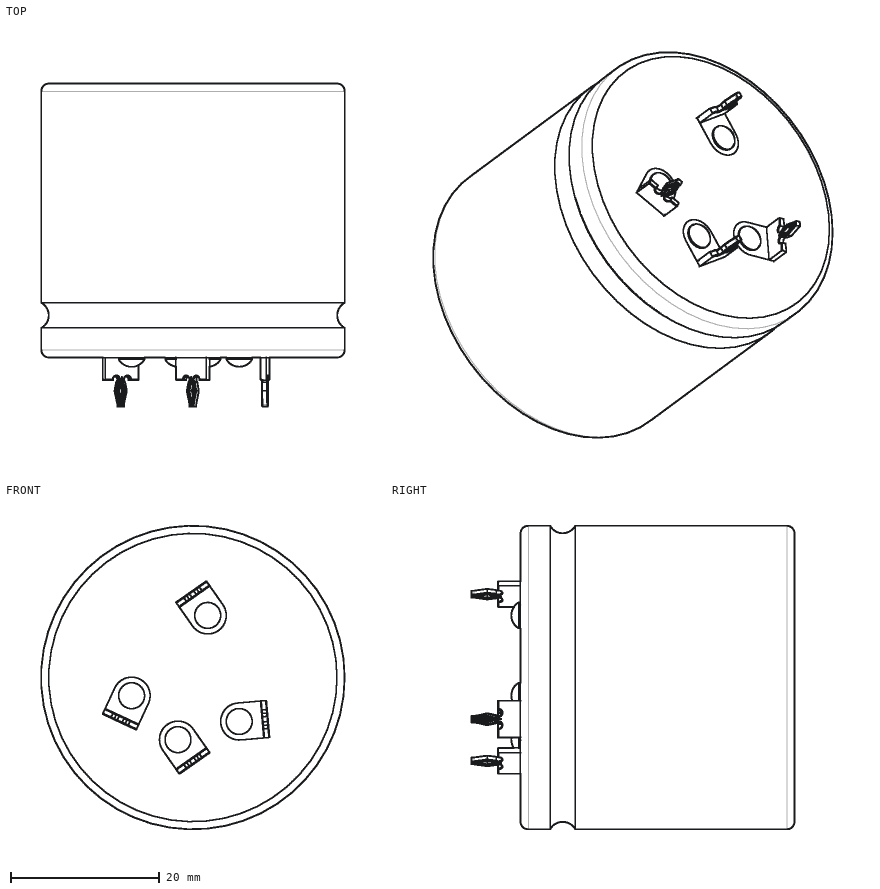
import cadquery as cq
import math


can_radius = 20.5
can_length = 37.0
rim_round = 1.05
bead_start = 4.0
bead_width = 3.4
bead_depth = 1.0

disc_radius = can_radius - rim_round
disc_thickness = bead_start

terminal_angles = (90, 210, 270, 330)
terminal_circle_radius = 11.25
terminal_twist = 35
sheet = 0.8
blade_width = 5.0
blade_drop = 3.05
rivet_offset = 3.5

rivet_radius = 1.75
rivet_rim = 0.25
rivet_height = 1.25

pin_drop = 6.62
pin_neck = 0.76
pin_bulge = 1.6
bulge_drop = 4.5
pin_tip = 0.72
tip_base_drop = 6.3
shoulder_angle = math.radians(50)
eye_width = 0.7
eye_half_length = 1.5
notch_width = 0.9
notch_depth = 0.55
edge_chamfer = 0.1


def make_can():
    """Round can with rounded rims, a rolled bead and a recess for the disc."""
    bead_end = bead_start + bead_width
    bead_middle = bead_start + bead_width / 2
    rim_arc_inset = rim_round * (1 - math.sqrt(0.5))
    profile = (
        cq.Workplane("XY")
        .moveTo(0, disc_thickness)
        .lineTo(disc_radius, disc_thickness)
        .lineTo(disc_radius, 0)
        .threePointArc(
            (can_radius - rim_arc_inset, rim_arc_inset),
            (can_radius, rim_round),
        )
        .lineTo(can_radius, bead_start)
        .threePointArc((can_radius - bead_depth, bead_middle), (can_radius, bead_end))
        .lineTo(can_radius, can_length - rim_round)
        .threePointArc(
            (can_radius - rim_arc_inset, can_length - rim_arc_inset),
            (can_radius - rim_round, can_length),
        )
        .lineTo(0, can_length)
        .close()
    )
    return profile.revolve(360, (0, 0, 0), (0, 1, 0))


def make_foot():
    """Flat foot of a terminal, flush with the disc face, round at the rivet end."""
    fold = sheet / 2
    return (
        cq.Workplane("XZ")
        .moveTo(-blade_width / 2, fold)
        .lineTo(-blade_width / 2, -rivet_offset)
        .threePointArc(
            (0, -rivet_offset - blade_width / 2),
            (blade_width / 2, -rivet_offset),
        )
        .lineTo(blade_width / 2, fold)
        .close()
        .extrude(-sheet)
    )


def blade_outline():
    """Blade and pin in one closed outline, with a round notch on each side of the pin."""
    notch_radius = notch_width / 2
    notch_x = pin_neck / 2 + notch_radius
    notch_y = -blade_drop + notch_depth - notch_radius
    notch_top = (notch_x, notch_y + notch_radius)
    notch_foot_x = notch_x + math.sqrt(notch_radius**2 - (notch_y + blade_drop) ** 2)
    notch_foot = (notch_foot_x, -blade_drop)
    shoulder = (
        notch_x - notch_radius * math.cos(shoulder_angle),
        notch_y - notch_radius * math.sin(shoulder_angle),
    )
    bulge = (pin_bulge / 2, -bulge_drop)
    tip_base = (pin_tip / 2, -tip_base_drop)
    tip = (pin_tip / 2, -pin_drop)

    def mirrored(point):
        return (-point[0], point[1])

    return (
        cq.Workplane("XY")
        .moveTo(-blade_width / 2, sheet)
        .lineTo(blade_width / 2, sheet)
        .lineTo(blade_width / 2, -blade_drop)
        .lineTo(*notch_foot)
        .threePointArc(notch_top, shoulder)
        .lineTo(*bulge)
        .lineTo(*tip_base)
        .lineTo(*tip)
        .lineTo(*mirrored(tip))
        .lineTo(*mirrored(tip_base))
        .lineTo(*mirrored(bulge))
        .lineTo(*mirrored(shoulder))
        .threePointArc(mirrored(notch_top), mirrored(notch_foot))
        .lineTo(-blade_width / 2, -blade_drop)
        .close()
    )


def make_blade():
    """Upright blade and its split pin, chamfered on both faces below the notch tops."""
    eye = (
        cq.Workplane("XY")
        .moveTo(0, -bulge_drop + eye_half_length)
        .lineTo(eye_width / 2, -bulge_drop)
        .lineTo(0, -bulge_drop - eye_half_length)
        .lineTo(-eye_width / 2, -bulge_drop)
        .close()
        .extrude(sheet / 2, both=True)
    )
    blade = blade_outline().extrude(sheet / 2, both=True).cut(eye)
    chamfer_zone = cq.selectors.BoxSelector(
        (-blade_width, -2 * pin_drop, -sheet),
        (blade_width, -blade_drop + notch_depth, sheet),
    )
    return blade.faces("|Z").edges(chamfer_zone).chamfer(edge_chamfer)


def make_rivet_head():
    """Domed rivet head standing on the foot."""
    dome_rise = rivet_height - rivet_rim
    dome_radius = (rivet_radius**2 + dome_rise**2) / (2 * dome_rise)
    mid_radius = rivet_radius / 2
    mid_drop = rivet_height - dome_radius + math.sqrt(dome_radius**2 - mid_radius**2)
    return (
        cq.Workplane("XY")
        .lineTo(rivet_radius, 0)
        .lineTo(rivet_radius, -rivet_rim)
        .threePointArc((mid_radius, -mid_drop), (0, -rivet_height))
        .close()
        .revolve(360, (0, 0, 0), (0, 1, 0))
        .translate((0, 0, -rivet_offset))
    )


def make_terminal(angle):
    """One terminal, its pin at the given angle (from +X toward +Z) on the pin circle."""
    terminal = make_foot().union(make_blade()).union(make_rivet_head())
    return (
        terminal.rotate((0, 0, 0), (0, 1, 0), -terminal_twist)
        .translate((0, 0, terminal_circle_radius))
        .rotate((0, 0, 0), (0, 1, 0), 90 - angle)
    )


can = make_can()
terminals = [make_terminal(angle) for angle in terminal_angles]

disc = cq.Workplane("XZ").circle(disc_radius).extrude(-disc_thickness)
for terminal in terminals:
    disc = disc.cut(terminal)

terminal_solids = [terminal.solids().val() for terminal in terminals]
result = cq.Compound.makeCompound([can.val(), disc.solids().val(), *terminal_solids])